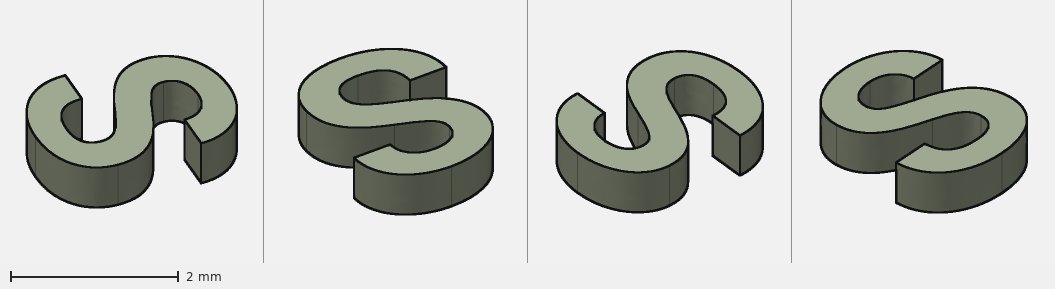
import cadquery as cq
import math

WIDTH = 1.88
HEIGHT = 2.52
THICKNESS = 0.6

STROKE_SIDE = 0.51
STROKE_CAP = 0.403
UPPER_LEFT = 0.075
UPPER_LEVEL = 1.837
LOWER_LEVEL = 0.685
UPPER_END = 1.77
LOWER_END = 0.81
TOP_X = 0.973
BOTTOM_X = 0.988

UPPER_BEND = (1.125, 1.462)
LOWER_BEND = (0.925, 1.063)
DIAGONAL_ANGLE = -18.5

EAST, NORTH, WEST, SOUTH = 0, 90, 180, 270

inner_right = WIDTH - STROKE_SIDE
inner_left = UPPER_LEFT + STROKE_SIDE
inner_top = HEIGHT - STROKE_CAP


def step(point, angle, distance):
    """Return the point reached by moving a distance along an angle."""
    turn = math.radians(angle)
    return (point[0] + distance * math.cos(turn), point[1] + distance * math.sin(turn))


def curve(outline, start, end, start_angle, end_angle, start_pull, end_pull):
    """Continue the outline from start to end with given travel directions and handle lengths."""
    start_handle = step(start, start_angle, start_pull)
    end_handle = step(end, end_angle, -end_pull)
    return outline.bezier([start_handle, end_handle, end], includeCurrent=True)


lower_tip = (0, LOWER_END)
bottom = (BOTTOM_X, 0)
lower_bulge = (WIDTH, LOWER_LEVEL)
upper_inner_left = (inner_left, UPPER_LEVEL)
upper_inner_top = (TOP_X, inner_top)
upper_inner_end = (inner_right, UPPER_END)
upper_tip = (WIDTH, UPPER_END)
top = (TOP_X, HEIGHT)
upper_bulge = (UPPER_LEFT, UPPER_LEVEL)
lower_inner_right = (inner_right, LOWER_LEVEL)
lower_inner_bottom = (BOTTOM_X, STROKE_CAP)
lower_inner_end = (STROKE_SIDE, LOWER_END)

diagonal_back = DIAGONAL_ANGLE + 180

outline = cq.Workplane("XY").moveTo(*lower_tip)
outline = curve(outline, lower_tip, bottom, SOUTH, EAST, 0.505, 0.555)
outline = curve(outline, bottom, lower_bulge, EAST, NORTH, 0.542, 0.415)
outline = curve(outline, lower_bulge, UPPER_BEND, NORTH, diagonal_back, 0.505, 0.318)
outline = curve(outline, UPPER_BEND, upper_inner_left, diagonal_back, NORTH, 0.408, 0.181)
outline = curve(outline, upper_inner_left, upper_inner_top, NORTH, EAST, 0.181, 0.222)
outline = curve(outline, upper_inner_top, upper_inner_end, EAST, SOUTH, 0.247, 0.202)
outline = outline.lineTo(*upper_tip)

outline = curve(outline, upper_tip, top, NORTH, WEST, 0.44, 0.517)
outline = curve(outline, top, upper_bulge, WEST, SOUTH, 0.517, 0.39)
outline = curve(outline, upper_bulge, LOWER_BEND, SOUTH, DIAGONAL_ANGLE, 0.5, 0.365)
outline = curve(outline, LOWER_BEND, lower_inner_right, DIAGONAL_ANGLE, SOUTH, 0.345, 0.166)
outline = curve(outline, lower_inner_right, lower_inner_bottom, SOUTH, WEST, 0.192, 0.237)
outline = curve(outline, lower_inner_bottom, lower_inner_end, WEST, NORTH, 0.315, 0.272)

result = outline.close().extrude(THICKNESS)